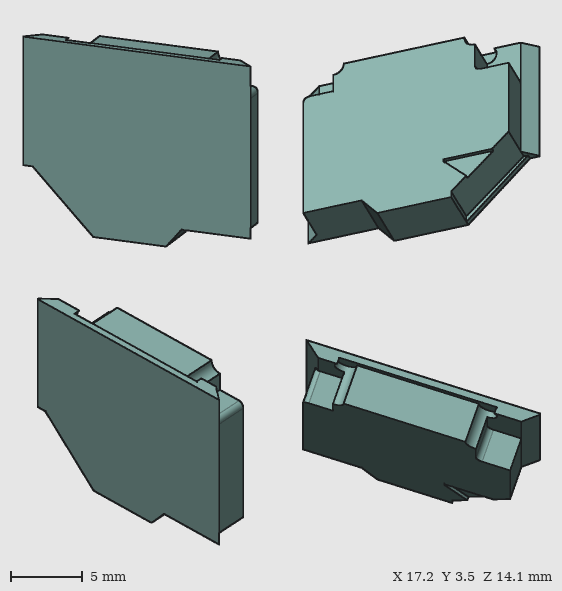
import cadquery as cq
import math

width = 17.23
depth = 3.5
height = 14.1

plate_thickness = 1.0
left_land = 0.1
bevel_angle = 50.0
left_foot = 4.62
left_foot_width = 0.72
right_foot = 1.4
nose_left = 5.32
nose_right = 10.82
right_slope_end = 12.0
lip_thickness = 0.4

body_left = 1.05
body_right = 16.33
body_top = 13.63
neck_left = 3.57
neck_right = 14.11
left_shoulder = 10.6
right_shoulder = 11.42
shoulder_radius = 0.43
nose_side_height = 0.48

recess_front = 0.52
relief_diameter = 1.5
relief_height = 13.6
relief_left = 3.6
relief_right = 14.08

notch_depth = 0.25
notch_bottom = 1.57
notch_top = 3.43
notch_bend = 3.27
notch_foot = 4.2


def extrude_back(profile, front, back):
    """Extrude an XZ profile from Y=front to Y=back."""
    return profile.extrude(front - back).translate((0, front, 0))


def make_plate():
    outline = cq.Workplane("XZ").polyline([
        (0, height), (width, height), (width, right_foot),
        (right_slope_end, right_foot), (nose_right, 0), (nose_left, 0),
        (left_foot_width, left_foot), (0, left_foot),
    ]).close()
    plate = extrude_back(outline, 0, plate_thickness)

    slope = math.tan(math.radians(bevel_angle))
    left_inset = (plate_thickness - left_land) * slope
    right_inset = plate_thickness * slope
    bevelled = cq.Workplane("XY").polyline([
        (0, 0), (width, 0), (width - right_inset, plate_thickness),
        (left_inset, plate_thickness), (0, left_land),
    ]).close().extrude(height)
    return plate.intersect(bevelled)


def cut_lower_slope(solid):
    """Set the lower left slope back behind the front lip."""
    waste = cq.Workplane("XZ").polyline([
        (0, left_foot), (body_left, left_foot),
        (nose_left, nose_side_height), (nose_left, 0), (0, 0),
    ]).close()
    return solid.cut(extrude_back(waste, lip_thickness, depth))


def make_body():
    outline = (
        cq.Workplane("XZ")
        .moveTo(body_left, left_foot)
        .lineTo(body_left, left_shoulder)
        .lineTo(neck_left - shoulder_radius, left_shoulder)
        .radiusArc((neck_left, left_shoulder + shoulder_radius), -shoulder_radius)
        .lineTo(neck_left, body_top)
        .lineTo(neck_right, body_top)
        .lineTo(neck_right, right_shoulder)
        .lineTo(body_right - shoulder_radius, right_shoulder)
        .radiusArc((body_right, right_shoulder - shoulder_radius), shoulder_radius)
        .lineTo(body_right, right_foot)
        .lineTo(right_slope_end, right_foot)
        .lineTo(nose_right, 0)
        .lineTo(nose_left, 0)
        .lineTo(nose_left, nose_side_height)
        .close()
    )
    return extrude_back(outline, recess_front, depth)


def cut_relief(solid):
    span = cq.Workplane("XZ").polyline([
        (relief_left, body_top), (relief_right, body_top),
        (relief_right, height), (relief_left, height),
    ]).close()
    solid = solid.cut(extrude_back(span, recess_front, depth))
    for center in (relief_left, relief_right):
        circle = cq.Workplane("XZ").center(center, relief_height).circle(relief_diameter / 2)
        solid = solid.cut(extrude_back(circle, recess_front, depth))
    return solid


def cut_notch(solid):
    notch_end = notch_foot + notch_bend - notch_bottom
    profile = cq.Workplane("XZ").polyline([
        (0, notch_bottom), (notch_foot, notch_bottom), (notch_end, notch_bend),
        (notch_end, notch_top), (0, notch_top),
    ]).close()
    return solid.cut(extrude_back(profile, depth - notch_depth, depth))


result = make_plate().union(make_body())
result = cut_lower_slope(result)
result = cut_relief(result)
result = cut_notch(result)